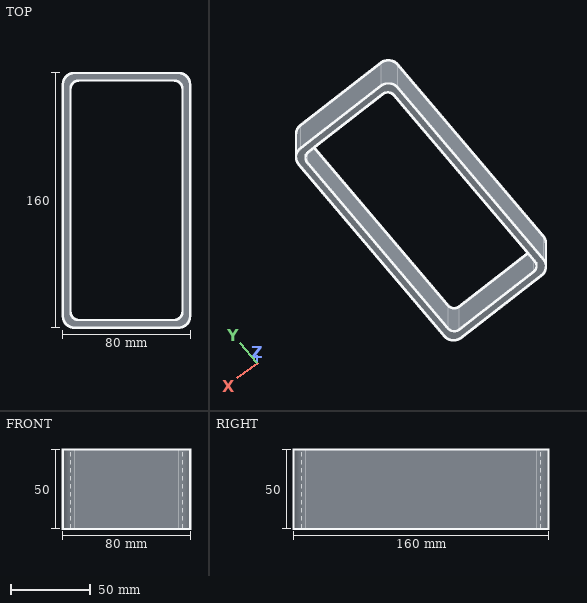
import cadquery as cq

width = 80.0
length = 160.0
height = 50.0
wall = 5.0
outer_radius = 7.5
inner_radius = 5.0


def rounded_block(size_x, size_y, corner_radius):
    """Block of full height with its four vertical edges rounded."""
    block = cq.Workplane("XY").box(size_x, size_y, height)
    return block.edges("|Z").fillet(corner_radius)


outer_body = rounded_block(width, length, outer_radius)
bore = rounded_block(width - 2 * wall, length - 2 * wall, inner_radius)

result = outer_body.cut(bore)